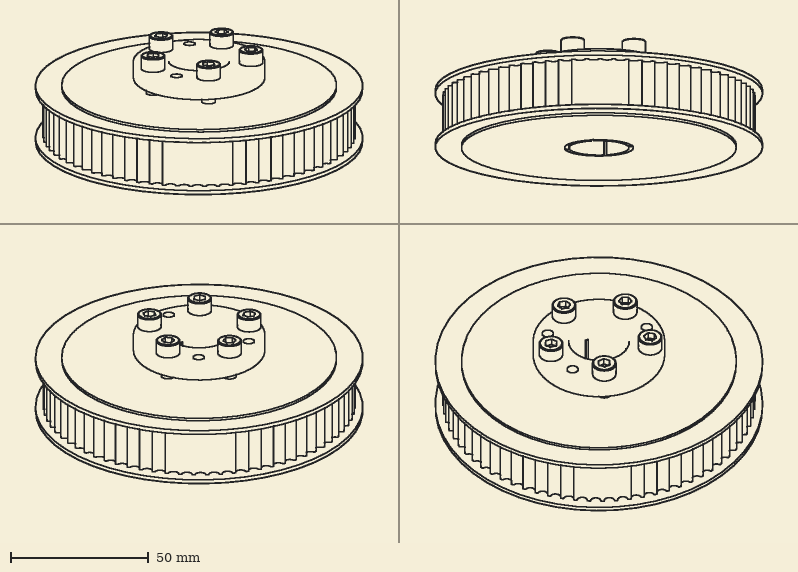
import cadquery as cq
import math

pulley_width = 22.0
hub_radius = 50.0
tooth_count = 72
tooth_tip_radius = 56.8
tooth_tip_fillet = 0.2
groove_radius = 1.9
groove_depth = 1.9

flange_radius = 59.5
flange_bend_radius = 57.0
flange_thickness = 1.5
flange_inset = 1.0
flange_flare = 0.7

bore_radius = 11.0
bore_fillet = 0.6
sleeve_radius = 12.5
sleeve_root_fillet = 0.2
collar_radius = 23.9
collar_thickness = 7.0
collar_fillet = 0.5
collar_gap = 2.4
slot_count = 4
slot_width = 1.1
slot_top_gap = 1.0

bolt_circle_radius = 19.0
screw_count = 5
first_screw_angle = 90.0
screw_radius = 2.5
screw_length = 20.0
head_radius = 4.3
head_height = 5.1
head_chamfer = 0.4
socket_across_flats = 4.0
socket_depth = 2.5
socket_tip_depth = 0.7
jack_hole_radius = 2.0
jack_hole_angles = (54.0, 126.0, 270.0)

belt_bottom = flange_inset + flange_thickness
belt_top = pulley_width - belt_bottom
collar_bottom = pulley_width + collar_gap
collar_top = collar_bottom + collar_thickness
slot_top = collar_bottom - slot_top_gap
screw_angles = [first_screw_angle + i * 360 / screw_count for i in range(screw_count)]


def polar(radius, angle):
    """Point at a radius and an angle in radians."""
    return (radius * math.cos(angle), radius * math.sin(angle))


def bolt_point(angle_degrees):
    return polar(bolt_circle_radius, math.radians(angle_degrees))


def cylinder(radius, bottom, top):
    return cq.Workplane("XY").workplane(offset=bottom).circle(radius).extrude(top - bottom)


def make_toothed_ring():
    """Belt section: round grooves with filleted lips, one groove centred on -Y."""
    pitch = 2 * math.pi / tooth_count
    root_radius = tooth_tip_radius - groove_depth
    groove_center_radius = root_radius + groove_radius

    lip_center_radius = tooth_tip_radius - tooth_tip_fillet
    center_distance = groove_radius + tooth_tip_fillet
    lip_angle = math.acos(
        (lip_center_radius**2 + groove_center_radius**2 - center_distance**2)
        / (2 * lip_center_radius * groove_center_radius)
    )
    lip_center = cq.Vector(*polar(lip_center_radius, lip_angle))
    groove_center = cq.Vector(groove_center_radius, 0)
    toward_groove = (groove_center - lip_center).normalized()
    toward_tip = lip_center.normalized()
    lip_start = lip_center + toward_groove * tooth_tip_fillet
    lip_middle = lip_center + (toward_groove + toward_tip).normalized() * tooth_tip_fillet
    lip_end = lip_center + toward_tip * tooth_tip_fillet

    def turned(point, angle, side=1):
        """Point turned about the axis, on the given side of a groove's centre line."""
        return polar(point.Length, angle + side * math.atan2(point.y, point.x))

    profile = cq.Workplane("XY").workplane(offset=belt_bottom).moveTo(*turned(lip_end, 0, -1))
    for i in range(tooth_count):
        groove = i * pitch
        profile = (
            profile.threePointArc(turned(lip_middle, groove, -1), turned(lip_start, groove, -1))
            .threePointArc(polar(root_radius, groove), turned(lip_start, groove))
            .threePointArc(turned(lip_middle, groove), turned(lip_end, groove))
            .threePointArc(
                polar(tooth_tip_radius, groove + pitch / 2), turned(lip_end, groove + pitch, -1)
            )
        )
    return profile.close().extrude(belt_top - belt_bottom)


def make_pulley_core():
    core = make_toothed_ring().union(cylinder(hub_radius, 0, pulley_width))
    core = core.cut(cylinder(sleeve_radius, 0, pulley_width))
    for screw_angle in screw_angles:
        hole = cylinder(screw_radius, collar_top - screw_length, pulley_width)
        core = core.cut(hole.translate(bolt_point(screw_angle)))
    return core


def make_bottom_flange():
    """Flat ring whose rim flares away from the belt."""
    rim_bottom = flange_inset - flange_flare
    section = [
        (hub_radius, flange_inset),
        (flange_bend_radius, flange_inset),
        (flange_radius, rim_bottom),
        (flange_radius, rim_bottom + flange_thickness),
        (flange_bend_radius, belt_bottom),
        (hub_radius, belt_bottom),
    ]
    return cq.Workplane("XZ").polyline(section).close().revolve(360, (0, 0), (0, 1))


def make_top_flange():
    return make_bottom_flange().mirror("XY", (0, 0, pulley_width / 2))


def make_bush():
    collar = cylinder(collar_radius, collar_bottom, collar_top).edges().fillet(collar_fillet)
    bush = collar.union(cylinder(sleeve_radius, 0, collar_bottom))
    root_edge = cq.selectors.RadiusNthSelector(0)
    bush = bush.faces(cq.selectors.NearestToPointSelector((0, 0, collar_bottom))).edges(root_edge)
    bush = bush.fillet(sleeve_root_fillet)
    bush = bush.cut(cylinder(bore_radius, 0, collar_top))
    bush = bush.faces(">Z").edges(cq.selectors.RadiusNthSelector(0)).fillet(bore_fillet)
    slot = cq.Workplane("XY").box(2 * sleeve_radius, slot_width, slot_top, centered=(False, True, False))
    for i in range(slot_count):
        bush = bush.cut(slot.rotate((0, 0, 0), (0, 0, 1), i * 360 / slot_count))
    for screw_angle in screw_angles:
        hole = cylinder(screw_radius, collar_bottom, collar_top)
        bush = bush.cut(hole.translate(bolt_point(screw_angle)))
    for hole_angle in jack_hole_angles:
        hole = cylinder(jack_hole_radius, collar_bottom, collar_top)
        bush = bush.cut(hole.translate(bolt_point(hole_angle)))
    return bush


def make_screw(angle):
    """Socket head screw with a corner of its socket pointing along the bolt circle radius."""
    head_top = collar_top + head_height
    socket_floor = head_top - socket_depth
    head = cylinder(head_radius, collar_top, head_top).faces(">Z").edges().chamfer(head_chamfer)
    screw = head.union(cylinder(screw_radius, collar_top - screw_length, collar_top))
    across_corners = socket_across_flats / math.cos(math.pi / 6)
    socket = cq.Workplane("XY").workplane(offset=socket_floor).polygon(6, across_corners)
    screw = screw.cut(socket.extrude(socket_depth))
    tip = cq.Solid.makeCone(
        0, socket_across_flats / 2, socket_tip_depth, cq.Vector(0, 0, socket_floor - socket_tip_depth)
    )
    screw = screw.cut(cq.Workplane(tip))
    return screw.rotate((0, 0, 0), (0, 0, 1), angle).translate(bolt_point(angle))


pulley_core = make_pulley_core()
bottom_flange = make_bottom_flange()
top_flange = make_top_flange()
bush = make_bush()
screws = [make_screw(angle) for angle in screw_angles]

result = cq.Compound.makeCompound(
    [
        pulley_core.val(),
        bottom_flange.val(),
        top_flange.val(),
        bush.val(),
        *[screw.val() for screw in screws],
    ]
)